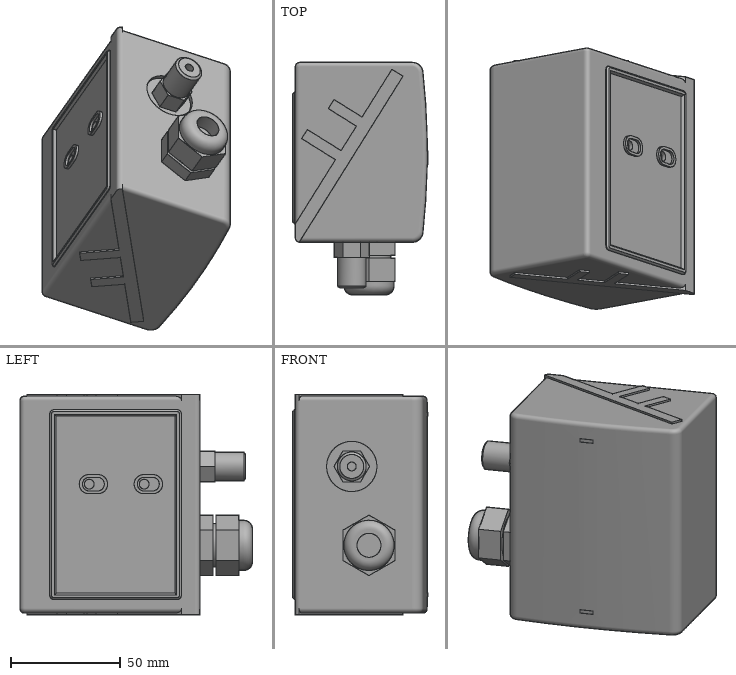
import cadquery as cq
import math


HOUSING_LENGTH = 82.4
HOUSING_HEIGHT = 99.3
CROWN_X = 60.5
CROWN_RADIUS = 340.8
MOUNT_CORNER_RADIUS = 2.2
LID_CORNER_RADIUS = 5.0
RIM_RADIUS = 2.0

RELIEF_HEIGHT = 0.9
STRIPE_ANGLE = 58
STRIPE_WIDTH = 6.0
STRIPE_LENGTH = 95.8
STRIPE_TIP = (49.3, 34.8)
TOOTH_WIDTH = 4.9
TEETH = [(28.2, 21.1), (46.3, 24.2)]

FRAME_LENGTH = 60.3
FRAME_HEIGHT = 86.9
FRAME_CENTER_Y = -2.6
FRAME_RISE = 1.2
FRAME_SLOPE = 0.9
FRAME_RIM = 1.3
FRAME_CORNER_RADIUS = 2.0
OPENING_LENGTH = FRAME_LENGTH - 2 * (FRAME_SLOPE + FRAME_RIM)
OPENING_HEIGHT = FRAME_HEIGHT - 2 * (FRAME_SLOPE + FRAME_RIM)
FLOOR_LENGTH = OPENING_LENGTH - 2 * FRAME_SLOPE
FLOOR_HEIGHT = OPENING_HEIGHT - 2 * FRAME_SLOPE

TAB_LENGTH = 6.2
TAB_HEIGHT = 1.6
TAB_RISE = 0.2
TAB_DEPTH = 1.1

BOSS_YS = [7.6, -17.6]
BOSS_Z = 9.4
BOSS_LENGTH = 13.0
BOSS_WIDTH = 8.7
BOSS_RISE = 1.2
SLOT_LENGTH = 10.0
SLOT_WIDTH = 6.3
SCREW_HOLE_DIAMETER = 4.5
SCREW_HOLE_DEPTH = 2.0
SCREW_HOLE_SHIFT = 1.9

NIPPLE_X = 25.9
NIPPLE_Z = 17.5
NIPPLE_RECESS_DIAMETER = 23.0
NIPPLE_RECESS_DEPTH = 1.9
NIPPLE_HEX_FLATS = 14.1
NIPPLE_HEX_END = 6.8
NIPPLE_END = 20.9
NIPPLE_DIAMETER = 13.2
NIPPLE_TIP_DIAMETER = 11.0
NIPPLE_TIP_LENGTH = 0.9
NIPPLE_BORE_DIAMETER = 4.0

GLAND_X = 33.8
GLAND_Z = -18.6
GLAND_HEX_FLATS = 24.0
GLAND_BASE_END = 6.0
GLAND_NUT_START = 7.2
GLAND_NUT_END = 17.8
GLAND_END = 106.5 - HOUSING_LENGTH
GLAND_NECK_DIAMETER = 20.0
GLAND_DOME_DIAMETER = 23.0
GLAND_DOME_RADIUS = 4.2
GLAND_BORE_DIAMETER = 11.0
GLAND_BORE_DEPTH = 7.5

CONNECTION_Y = -HOUSING_LENGTH / 2
RELIEF_TOP_Z = HOUSING_HEIGHT / 2 + RELIEF_HEIGHT


def crown_x(y):
    """X of the crowned lid at a given Y."""
    return CROWN_X - CROWN_RADIUS + math.sqrt(CROWN_RADIUS ** 2 - y ** 2)


def outline_prism(half_height):
    """Prism of the housing outline, with rounded upright edges."""
    half = HOUSING_LENGTH / 2
    prism = (
        cq.Workplane("XY")
        .workplane(offset=-half_height)
        .moveTo(0, -half)
        .lineTo(crown_x(half), -half)
        .threePointArc((CROWN_X, 0), (crown_x(half), half))
        .lineTo(0, half)
        .close()
        .extrude(2 * half_height)
    )
    prism = prism.edges("|Z and (not <X)").fillet(LID_CORNER_RADIUS)
    return prism.edges("|Z and <X").fillet(MOUNT_CORNER_RADIUS)


def stripe_block(start, end, side_start, side_end, height):
    """Block in the stripe's own frame: `start` and `end` count back from the tip, sides count across it."""
    block = cq.Workplane("XY").box(
        end - start, side_end - side_start, height, centered=(True, True, True)
    )
    block = block.translate((-(start + end) / 2, (side_start + side_end) / 2, 0))
    return block.rotate((0, 0, 0), (0, 0, 1), STRIPE_ANGLE).translate((*STRIPE_TIP, 0))


def relief():
    """Stripe and teeth through the full height, trimmed to the housing outline."""
    height = 2 * RELIEF_TOP_Z
    shape = stripe_block(0, STRIPE_LENGTH, 0, STRIPE_WIDTH, height)
    for distance, reach in TEETH:
        start = distance - TOOTH_WIDTH / 2
        shape = shape.union(stripe_block(start, start + TOOTH_WIDTH, 0, reach, height))
    return shape.intersect(outline_prism(RELIEF_TOP_Z))


def mount_plane(rise):
    """Plane parallel to the mounting face, facing -X, with local X along -Y and local Y along Z."""
    return cq.Workplane(cq.Plane(origin=(-rise, 0, 0), xDir=(0, -1, 0), normal=(-1, 0, 0)))


def mounting_frame():
    frame = (
        mount_plane(0)
        .center(-FRAME_CENTER_Y, 0)
        .rect(FRAME_LENGTH, FRAME_HEIGHT)
        .extrude(FRAME_RISE)
        .edges("|X")
        .fillet(FRAME_CORNER_RADIUS)
        .faces("<X")
        .chamfer(FRAME_SLOPE)
    )
    opening = (
        mount_plane(FRAME_RISE)
        .center(-FRAME_CENTER_Y, 0)
        .rect(OPENING_LENGTH, OPENING_HEIGHT)
        .workplane(offset=-FRAME_RISE)
        .rect(FLOOR_LENGTH, FLOOR_HEIGHT)
        .loft()
    )
    return frame.cut(opening)


def slot_boss(y):
    boss = mount_plane(0).center(-y, BOSS_Z).slot2D(BOSS_LENGTH, BOSS_WIDTH).extrude(BOSS_RISE)
    slot = mount_plane(0).center(-y, BOSS_Z).slot2D(SLOT_LENGTH, SLOT_WIDTH).extrude(BOSS_RISE)
    return boss.cut(slot)


def screw_hole(y):
    return (
        mount_plane(0)
        .center(-y - SCREW_HOLE_SHIFT, BOSS_Z)
        .circle(SCREW_HOLE_DIAMETER / 2)
        .extrude(-SCREW_HOLE_DEPTH)
    )


def lid_tab(side):
    center_x = CROWN_X + TAB_RISE - TAB_DEPTH / 2
    center_z = side * (FLOOR_HEIGHT + TAB_HEIGHT) / 2
    tab = cq.Workplane("XY").box(TAB_DEPTH, TAB_LENGTH, TAB_HEIGHT)
    return tab.translate((center_x, FRAME_CENTER_Y, center_z))


def connection_plane(x, z, distance=0):
    """Plane facing -Y at a distance outside the connection face."""
    origin = (x, CONNECTION_Y - distance, z)
    return cq.Workplane(cq.Plane(origin=origin, xDir=(1, 0, 0), normal=(0, -1, 0)))


def hexagon(plane, flats, length, turn=0):
    """Hexagonal prism; a turn of 90 degrees points its corners along Z instead of X."""
    corners = flats / math.cos(math.pi / 6)
    return plane.transformed(rotate=(0, 0, turn)).polygon(6, corners).extrude(length)


def nipple_recess():
    return (
        connection_plane(NIPPLE_X, NIPPLE_Z)
        .circle(NIPPLE_RECESS_DIAMETER / 2)
        .extrude(-NIPPLE_RECESS_DEPTH)
    )


def nipple_bore():
    return (
        connection_plane(NIPPLE_X, NIPPLE_Z, NIPPLE_END)
        .circle(NIPPLE_BORE_DIAMETER / 2)
        .extrude(-NIPPLE_END - NIPPLE_RECESS_DEPTH)
    )


def make_nipple():
    """Hexagon standing on the recess floor, with a bored round stem."""
    foot = connection_plane(NIPPLE_X, NIPPLE_Z, -NIPPLE_RECESS_DEPTH)
    body = hexagon(foot, NIPPLE_HEX_FLATS, NIPPLE_HEX_END + NIPPLE_RECESS_DEPTH)
    stem = (
        connection_plane(NIPPLE_X, NIPPLE_Z, NIPPLE_HEX_END)
        .circle(NIPPLE_DIAMETER / 2)
        .extrude(NIPPLE_END - NIPPLE_HEX_END)
        .faces("<Y")
        .chamfer(NIPPLE_TIP_LENGTH, (NIPPLE_DIAMETER - NIPPLE_TIP_DIAMETER) / 2)
    )
    return body.union(stem).cut(nipple_bore())


def gland():
    """Hexagonal base, round neck, hexagonal nut and domed end with a blind bore."""
    base = hexagon(connection_plane(GLAND_X, GLAND_Z), GLAND_HEX_FLATS, GLAND_BASE_END, turn=90)
    neck = (
        connection_plane(GLAND_X, GLAND_Z, GLAND_BASE_END)
        .circle(GLAND_NECK_DIAMETER / 2)
        .extrude(GLAND_NUT_START - GLAND_BASE_END)
    )
    nut_plane = connection_plane(GLAND_X, GLAND_Z, GLAND_NUT_START)
    nut = hexagon(nut_plane, GLAND_HEX_FLATS, GLAND_NUT_END - GLAND_NUT_START, turn=90)
    dome = (
        connection_plane(GLAND_X, GLAND_Z, GLAND_NUT_END)
        .circle(GLAND_DOME_DIAMETER / 2)
        .extrude(GLAND_END - GLAND_NUT_END)
        .faces("<Y")
        .edges()
        .fillet(GLAND_DOME_RADIUS)
    )
    bore = (
        connection_plane(GLAND_X, GLAND_Z, GLAND_END)
        .circle(GLAND_BORE_DIAMETER / 2)
        .extrude(-GLAND_BORE_DEPTH)
    )
    return base.union(neck).union(nut).union(dome).cut(bore)


def make_housing():
    shell = outline_prism(HOUSING_HEIGHT / 2).faces("|Z").edges().fillet(RIM_RADIUS)
    shell = shell.union(relief()).union(mounting_frame())
    for y in BOSS_YS:
        shell = shell.union(slot_boss(y)).cut(screw_hole(y))
    for side in (-1, 1):
        shell = shell.union(lid_tab(side))
    return shell.cut(nipple_recess()).union(gland())


housing = make_housing()
nipple = make_nipple()

result = cq.Compound.makeCompound([housing.val(), nipple.val()])